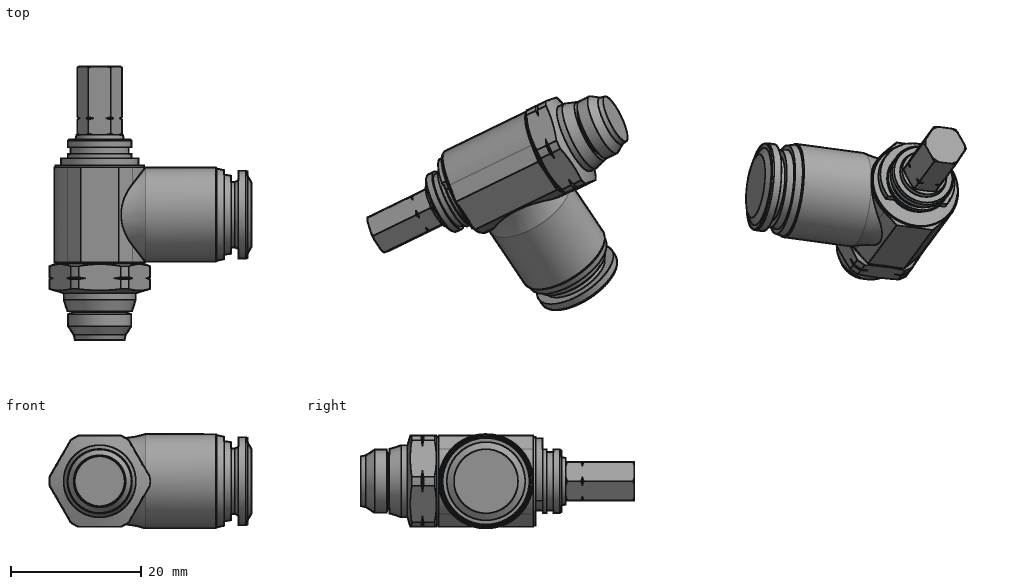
import cadquery as cq
import math


body_radius = 7.0
body_half_length = 7.25
body_rim_radius = 6.8
body_top_rim_length = 0.35
body_bottom_rim_length = 0.25

hex_flats = 2 * body_radius
hex_corner_radius = 7.73
hex_length = 3.85
hex_chamfer_length = 0.38
hex_groove_root_radius = 7.35
hex_groove_half_width = 0.15
hex_groove_position = 2.23
hex_seat_length = 0.67

seal_radius = 5.55
seal_straight_length = 0.95
seal_cone_length = 1.8
seal_cone_end_radius = 4.95
thread_radius = 4.87
thread_length = 1.85
undercut_radius = 4.07
undercut_straight_length = 0.15
undercut_cone_length = 0.25
nose_radius = 4.0
nose_cone_length = 1.35
nose_tip_radius = 3.82
overall_length = 42.0

plate_radius = 5.95
plate_offset = 0.65
plate_flat_height = -3.0
plate_thickness = 1.1
neck_radius = 4.9
neck_groove_radius = 4.5
neck_lower_length = 0.65
neck_groove_length = 1.0
neck_upper_length = 1.0
neck_chamfer = 0.25
spigot_base_radius = 3.75
spigot_top_radius = 3.55
spigot_length = 0.67

spindle_flats = 5.95
locknut_length = 2.5
spindle_chamfer_length = 0.2
spindle_chamfer_depth = 0.3

branch_radius = 7.245
branch_root_radius = 6.65
branch_root_mid_radius = 6.8
branch_root_start = 3.15
branch_root_mid = 5.15
branch_barrel_start = 6.97
branch_barrel_end = 17.75
shoulder_start = 17.98
shoulder_start_radius = 7.1
shoulder_end = 19.05
shoulder_end_radius = 6.85
collar_start_radius = 6.17
collar_end = 20.15
collar_end_radius = 6.0
sleeve_radius = 5.05
sleeve_flare_start = 20.75
sleeve_flare_radius = 5.3
flange_start = 21.25
flange_end = 22.7
flange_radius = 6.75
flange_edge_start = 22.43
flange_edge_radius = 6.65
flange_cone_radius = 6.0
branch_tip = 23.3
branch_tip_radius = 4.9

spindle_end = 22.75
stud_end = spindle_end - overall_length
plate_bottom = body_half_length + body_top_rim_length
locknut_bottom = (
    plate_bottom + plate_thickness + neck_lower_length + neck_groove_length
    + neck_upper_length + neck_chamfer + spigot_length
)


def turned_about_y(start, sections):
    """Stack (length, first radius, last radius) sections along Y; negative lengths run towards -Y."""
    y = start
    points = [(0, y)]
    for length, first_radius, last_radius in sections:
        if points[-1] != (first_radius, y):
            points.append((first_radius, y))
        y += length
        points.append((last_radius, y))
    points.append((0, y))
    profile = cq.Workplane("XY").polyline(points).close()
    return profile.revolve(360, (0, 0), (0, 1))


def hexagon_bar(flats, start, length):
    """Hexagonal bar along +Y with two flats facing +Z and -Z."""
    across_corners = flats / math.cos(math.pi / 6)
    plane = cq.Workplane("XZ", origin=(0, start, 0))
    return plane.polygon(6, across_corners).extrude(-length)


def chamfered_hexagon(flats, start, length):
    """Spindle hexagon with its corners turned down at both ends."""
    corner = flats / math.sqrt(3)
    tip = corner - spindle_chamfer_depth
    envelope = turned_about_y(start, [
        (spindle_chamfer_length, tip, corner),
        (length - 2 * spindle_chamfer_length, corner, corner),
        (spindle_chamfer_length, corner, tip),
    ])
    return hexagon_bar(flats, start, length).intersect(envelope)


def make_body():
    octagon_corners = 2 * body_radius / math.cos(math.pi / 8)
    octagon = (
        cq.Workplane("XZ")
        .polygon(8, octagon_corners)
        .extrude(body_half_length, both=True)
        .rotate((0, 0, 0), (0, 1, 0), 22.5)
    )
    tangent = body_radius * math.sqrt(0.5)
    flat_core = cq.Workplane("XY").box(2 * tangent, 2 * body_half_length, 2 * body_radius)
    barrel = cq.Workplane("XZ").circle(body_radius).extrude(body_half_length, both=True)
    rim_bottom = -body_half_length - body_bottom_rim_length
    rim_span = body_bottom_rim_length + 2 * body_half_length + body_top_rim_length
    rims = turned_about_y(rim_bottom, [(rim_span, body_rim_radius, body_rim_radius)])
    return octagon.intersect(flat_core).union(barrel).union(rims)


def make_stud():
    hex_top = -body_half_length - body_bottom_rim_length
    hex_bottom = hex_top - hex_length
    seat_bottom = hex_bottom - hex_seat_length
    upper_land = hex_groove_position - hex_groove_half_width - hex_chamfer_length
    lower_land = hex_length - hex_groove_position - hex_groove_half_width
    envelope = turned_about_y(hex_top, [
        (-hex_chamfer_length, body_rim_radius, hex_corner_radius),
        (-upper_land, hex_corner_radius, hex_corner_radius),
        (-hex_groove_half_width, hex_corner_radius, hex_groove_root_radius),
        (-hex_groove_half_width, hex_groove_root_radius, hex_corner_radius),
        (-lower_land, hex_corner_radius, hex_corner_radius),
        (-hex_seat_length, hex_corner_radius, seal_radius),
    ])
    hexagon = hexagon_bar(hex_flats, seat_bottom, hex_length + hex_seat_length)

    shank_length = (
        seal_straight_length + seal_cone_length + undercut_straight_length
        + undercut_cone_length + thread_length + nose_cone_length
    )
    nose_tip_length = seat_bottom - shank_length - stud_end
    shank = turned_about_y(seat_bottom, [
        (-seal_straight_length, seal_radius, seal_radius),
        (-seal_cone_length, seal_radius, seal_cone_end_radius),
        (-undercut_straight_length, undercut_radius, undercut_radius),
        (-undercut_cone_length, undercut_radius, thread_radius),
        (-thread_length, thread_radius, thread_radius),
        (-nose_cone_length, thread_radius, nose_radius),
        (-nose_tip_length, nose_radius, nose_tip_radius),
    ])
    return hexagon.intersect(envelope).union(shank)


def make_stop_plate():
    plane = cq.Workplane("XZ", origin=(0, plate_bottom, 0))
    disc = plane.center(0, plate_offset).circle(plate_radius).extrude(-plate_thickness)
    kept_height = plate_offset + plate_radius - plate_flat_height
    keep = cq.Workplane("XY").box(
        2 * plate_radius, plate_thickness, kept_height, centered=(True, False, False)
    ).translate((0, plate_bottom, plate_flat_height))
    return disc.intersect(keep)


def make_neck():
    return turned_about_y(plate_bottom, [
        (plate_thickness, neck_groove_radius, neck_groove_radius),
        (neck_lower_length, neck_radius, neck_radius),
        (neck_groove_length, neck_groove_radius, neck_groove_radius),
        (neck_upper_length, neck_radius, neck_radius),
        (neck_chamfer, neck_radius, neck_radius - neck_chamfer),
        (spigot_length, spigot_base_radius, spigot_top_radius),
    ])


def make_spindle():
    locknut = chamfered_hexagon(spindle_flats, locknut_bottom, locknut_length)
    locknut_top = locknut_bottom + locknut_length
    spindle = chamfered_hexagon(spindle_flats, locknut_top, spindle_end - locknut_top)
    return locknut.union(spindle)


def make_branch():
    profile = (
        cq.Workplane("XY")
        .moveTo(0, 0)
        .lineTo(0, branch_root_radius)
        .lineTo(branch_root_start, branch_root_radius)
        .threePointArc(
            (branch_root_mid, branch_root_mid_radius), (branch_barrel_start, branch_radius)
        )
        .lineTo(branch_barrel_end, branch_radius)
        .lineTo(shoulder_start, shoulder_start_radius)
        .lineTo(shoulder_end, shoulder_end_radius)
        .lineTo(shoulder_end, collar_start_radius)
        .lineTo(collar_end, collar_end_radius)
        .lineTo(collar_end, sleeve_radius)
        .lineTo(sleeve_flare_start, sleeve_radius)
        .lineTo(flange_start, sleeve_flare_radius)
        .lineTo(flange_start, flange_radius)
        .lineTo(flange_edge_start, flange_radius)
        .lineTo(flange_end, flange_edge_radius)
        .lineTo(flange_end, flange_cone_radius)
        .lineTo(branch_tip, branch_tip_radius)
        .lineTo(branch_tip, 0)
        .close()
    )
    return profile.revolve(360, (0, 0), (1, 0))


result = (
    make_body()
    .union(make_branch())
    .union(make_stud())
    .union(make_stop_plate())
    .union(make_neck())
    .union(make_spindle())
)